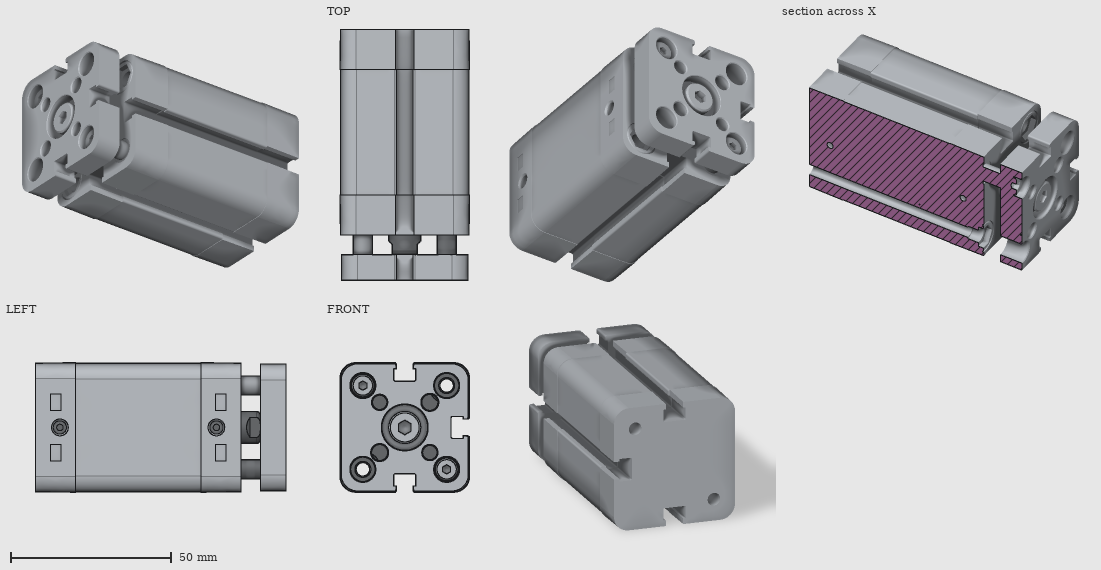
import cadquery as cq
import math


PLATE_LENGTH = 8.0
GAP_LENGTH = 6.0
CAP_LENGTH = 12.5
BARREL_LENGTH = 39.0
PLATE_BACK = PLATE_LENGTH
CAP_FRONT = PLATE_BACK + GAP_LENGTH
BARREL_FRONT = CAP_FRONT + CAP_LENGTH
BARREL_BACK = BARREL_FRONT + BARREL_LENGTH
BODY_BACK = BARREL_BACK + CAP_LENGTH

PLATE_WIDTH = 39.5
BARREL_WIDTH = 40.0
CAP_WIDTH = 40.3
CAP_END_WIDTH = 40.0
CORNER_RADIUS = 5.0

SLOT_NECK = 5.15
SLOT_MOUTH_RADIUS = 0.55
SLOT_WIDTH = 6.8
SLOT_FLOOR = 14.4
SLOT_SHOULDER = 18.2
SLOT_FILLET = 0.4
CAP_SLOT_CLEARANCE = 0.3

CORNER_OFFSET = 13.0
ROD_CORNERS = [(-CORNER_OFFSET, CORNER_OFFSET), (CORNER_OFFSET, -CORNER_OFFSET)]
SCREW_CORNERS = [(-CORNER_OFFSET, -CORNER_OFFSET), (CORNER_OFFSET, CORNER_OFFSET)]
GUIDE_ROD_DIAMETER = 6.0
GUIDE_SEAT_DIAMETER = 8.0
GUIDE_SEAT_DEPTH = 0.3

CORNER_HOLE_DIAMETER = 7.6
CORNER_HOLE_CHAMFER = 0.27
HEAD_DIAMETER = 7.0
HEAD_CHAMFER = 0.51
HEAD_RECESS = 2.0
HEAD_GROOVE_DEPTH = 1.2
HEAD_HEX_FLATS = 2.5
HEAD_HEX_DEPTH = 1.55

MOUNT_OFFSET = 7.8
WIDE_MOUNT_DIAMETER = 5.0
NARROW_MOUNT_DIAMETER = 4.45
MOUNT_CHAMFER = 0.3

PISTON_DIAMETER = 10.0
PISTON_END_DIAMETER = 9.0
PISTON_RECESS = 0.7
PISTON_BORE_DIAMETER = 14.2
PISTON_BORE_CHAMFER = 0.195
PISTON_BORE_DEPTH = 4.0
PISTON_HEX_FLATS = 4.0
PISTON_HEX_DEPTH = 2.35
PISTON_FLATS = 7.9
FLATS_START = 1.7
SHOULDER_RADIUS = 1.2

SCREW_SEAT_DIAMETER = 11.1
SCREW_FACE_DIAMETER = 10.0
SCREW_FACE_RECESS = 0.1
SCREW_SOCKET_FLATS = 7.6
SCREW_SOCKET_DEPTH = 1.9
SCREW_SHANK_DIAMETER = 5.0
SCREW_SHANK_DEPTH = 3.9
SCREW_HOLE_DIAMETER = 4.1

PORT_DISTANCE = 7.65
PORT_DIAMETER = 4.1
PORT_CHAMFER = 0.55
PORT_DEPTH = 4.7
PORT_PASSAGE_DIAMETER = 2.0
PORT_PASSAGE_DEPTH = 7.0
LABEL_DISTANCE = 6.3
LABEL_OFFSET = 7.9
LABEL_LENGTH = 3.2
LABEL_HEIGHT = 5.1
LABEL_DEPTH = 0.15


def section(y):
    """Workplane across the axis at y, with X to the right and Z up."""
    return cq.Workplane("XZ", origin=(0, y, 0))


def cylinder(points, diameter, front, back):
    return section(front).pushPoints(points).circle(diameter / 2).extrude(front - back)


def cone(x, z, front_diameter, back_diameter, front, back):
    axis = cq.Vector(0, 1, 0)
    base = cq.Vector(x, front, z)
    return cq.Workplane(cq.Solid.makeCone(front_diameter / 2, back_diameter / 2, back - front, base, axis))


def chamfered_holes(points, diameter, chamfer, front, back):
    holes = cylinder(points, diameter, front, back)
    for x, z in points:
        holes = holes.union(cone(x, z, diameter + 2 * chamfer, diameter, front, front + chamfer))
    return holes


def hex_socket(x, z, flats, front, depth):
    """Hexagonal socket with corners up and down, ending in a drill point."""
    corners = flats / math.cos(math.pi / 6)
    drill_end = front + depth + corners / 2 * math.tan(math.pi / 6)
    prism = section(front).center(x, z).transformed(rotate=(0, 0, 90))
    prism = prism.polygon(6, corners).extrude(front - drill_end)
    drill = cylinder([(x, z)], corners, front, front + depth)
    drill = drill.union(cone(x, z, corners, 0, front + depth, drill_end))
    return prism.intersect(drill)


def rounded_square(y, width):
    outline = cq.Sketch().rect(width, width).vertices().fillet(CORNER_RADIUS)
    return section(y).placeSketch(outline)


def t_slots(front, back, width, clearance, rounding):
    """T-slots along the top, bottom and +X sides of a square of the given width."""
    half_neck = SLOT_NECK / 2 + clearance
    half_slot = SLOT_WIDTH / 2 + clearance
    floor = SLOT_FLOOR - clearance
    groove = section(front).center(0, (floor + SLOT_SHOULDER) / 2)
    groove = groove.rect(2 * half_slot, SLOT_SHOULDER - floor).extrude(front - back)
    groove = groove.edges("|Y and <Z").fillet(SLOT_FILLET)
    neck = section(front).center(0, width / 2).rect(2 * half_neck, width - 2 * SLOT_SHOULDER)
    slot = groove.union(neck.extrude(front - back))
    if rounding:
        surface = width / 2
        bend = rounding * (1 - math.sqrt(0.5))
        mouth = (
            section(front)
            .moveTo(-half_neck, surface - rounding)
            .threePointArc((-half_neck - bend, surface - bend), (-half_neck - rounding, surface))
            .lineTo(half_neck + rounding, surface)
            .threePointArc((half_neck + bend, surface - bend), (half_neck, surface - rounding))
            .close()
        )
        slot = slot.union(mouth.extrude(front - back))
    slots = slot
    for angle in (90, 180):
        slots = slots.union(slot.rotate((0, 0, 0), (0, 1, 0), angle))
    return slots


def front_plate():
    plate = rounded_square(0, PLATE_WIDTH).extrude(-PLATE_LENGTH)
    plate = plate.cut(t_slots(0, PLATE_LENGTH, PLATE_WIDTH, 0, SLOT_MOUTH_RADIUS))
    corners = ROD_CORNERS + SCREW_CORNERS
    plate = plate.cut(chamfered_holes(corners, CORNER_HOLE_DIAMETER, CORNER_HOLE_CHAMFER, 0, PLATE_LENGTH))
    wide = [(-MOUNT_OFFSET, -MOUNT_OFFSET), (MOUNT_OFFSET, MOUNT_OFFSET)]
    narrow = [(-MOUNT_OFFSET, MOUNT_OFFSET), (MOUNT_OFFSET, -MOUNT_OFFSET)]
    plate = plate.cut(chamfered_holes(wide, WIDE_MOUNT_DIAMETER, MOUNT_CHAMFER, 0, PLATE_LENGTH))
    plate = plate.cut(chamfered_holes(narrow, NARROW_MOUNT_DIAMETER, MOUNT_CHAMFER, 0, PLATE_LENGTH))
    bore = chamfered_holes([(0, 0)], PISTON_BORE_DIAMETER, PISTON_BORE_CHAMFER, 0, PISTON_BORE_DEPTH)
    return plate.cut(bore).cut(cylinder([(0, 0)], PISTON_DIAMETER, 0, PLATE_LENGTH))


def guide_rods():
    groove_end = HEAD_RECESS + HEAD_GROOVE_DEPTH
    rods = cylinder(ROD_CORNERS, GUIDE_ROD_DIAMETER, groove_end, BARREL_FRONT)
    rods = rods.union(cylinder(ROD_CORNERS, CORNER_HOLE_DIAMETER, groove_end, PLATE_BACK))
    heads = cylinder(ROD_CORNERS, HEAD_DIAMETER, HEAD_RECESS, PLATE_BACK)
    rods = rods.union(heads.faces("<Y").chamfer(HEAD_CHAMFER))
    for x, z in ROD_CORNERS:
        rods = rods.cut(hex_socket(x, z, HEAD_HEX_FLATS, HEAD_RECESS, HEAD_HEX_DEPTH))
    return rods


def piston_rod():
    end_chamfer = (PISTON_DIAMETER - PISTON_END_DIAMETER) / 2
    rod = cylinder([(0, 0)], PISTON_DIAMETER, PISTON_RECESS, PLATE_BACK)
    rod = rod.faces("<Y").chamfer(end_chamfer)
    rod = rod.cut(hex_socket(0, 0, PISTON_HEX_FLATS, PISTON_RECESS, PISTON_HEX_DEPTH))

    neck = cylinder([(0, 0)], PISTON_DIAMETER, PLATE_BACK, BARREL_FRONT)
    neck = neck.faces("<Y").fillet(SHOULDER_RADIUS)
    half_flat = PISTON_FLATS / 2
    ramp_end = CAP_FRONT - FLATS_START
    ramp_start = ramp_end - (PISTON_DIAMETER - PISTON_FLATS) / 2
    flat_body = (
        cq.Workplane("XY", origin=(0, 0, -PISTON_DIAMETER / 2))
        .moveTo(-half_flat, PLATE_BACK)
        .lineTo(half_flat, PLATE_BACK)
        .lineTo(half_flat, ramp_start)
        .lineTo(PISTON_DIAMETER / 2, ramp_end)
        .lineTo(PISTON_DIAMETER / 2, BARREL_FRONT)
        .lineTo(-PISTON_DIAMETER / 2, BARREL_FRONT)
        .lineTo(-PISTON_DIAMETER / 2, ramp_end)
        .lineTo(-half_flat, ramp_start)
        .close()
        .extrude(PISTON_DIAMETER)
    )
    return rod.union(neck.intersect(flat_body))


def end_cap():
    """Front cap, tapering from the barrel to its outer end, with the port and labels."""
    slope = (CAP_WIDTH - CAP_END_WIDTH) / 2 / CAP_LENGTH
    taper = math.degrees(math.atan(slope))
    cap = rounded_square(BARREL_FRONT, CAP_WIDTH).extrude(CAP_LENGTH, taper=taper)
    cap = cap.cut(t_slots(CAP_FRONT, BARREL_FRONT, CAP_WIDTH, CAP_SLOT_CLEARANCE, 0))

    port_inset = slope * (CAP_LENGTH - PORT_DISTANCE)
    label_inset = slope * (CAP_LENGTH - LABEL_DISTANCE)
    port_radius = PORT_DIAMETER / 2
    port_profile = (
        cq.Workplane("XY", origin=(-CAP_WIDTH / 2, CAP_FRONT + PORT_DISTANCE, 0))
        .lineTo(0, port_radius + PORT_CHAMFER)
        .lineTo(port_inset, port_radius + PORT_CHAMFER)
        .lineTo(port_inset + PORT_CHAMFER, port_radius)
        .lineTo(PORT_DEPTH, port_radius)
        .lineTo(PORT_DEPTH, PORT_PASSAGE_DIAMETER / 2)
        .lineTo(PORT_PASSAGE_DEPTH, PORT_PASSAGE_DIAMETER / 2)
        .lineTo(PORT_PASSAGE_DEPTH, 0)
        .close()
    )
    cap = cap.cut(port_profile.revolve(360, (0, 0, 0), (1, 0, 0)))
    panel_depth = label_inset + LABEL_DEPTH
    panel_x = (panel_depth - CAP_WIDTH) / 2
    panel_y = CAP_FRONT + LABEL_DISTANCE
    for z in (-LABEL_OFFSET, LABEL_OFFSET):
        panel = cq.Workplane("XY").box(panel_depth, LABEL_LENGTH, LABEL_HEIGHT)
        cap = cap.cut(panel.translate((panel_x, panel_y, z)))
    return cap


def screw_recesses():
    """Recesses that leave chamfered screw heads with a hexagonal socket and a hollow shank."""
    face = CAP_FRONT + SCREW_FACE_RECESS
    seat_floor = face + (SCREW_SEAT_DIAMETER - SCREW_FACE_DIAMETER) / 2
    socket_floor = face + SCREW_SOCKET_DEPTH
    shank_end = socket_floor + SCREW_SHANK_DEPTH
    recesses = cylinder(SCREW_CORNERS, SCREW_SEAT_DIAMETER, CAP_FRONT, seat_floor)
    for x, z in SCREW_CORNERS:
        recesses = recesses.cut(cone(x, z, SCREW_FACE_DIAMETER, SCREW_SEAT_DIAMETER, face, seat_floor))
    corners = SCREW_SOCKET_FLATS / math.cos(math.pi / 6)
    sockets = section(face).pushPoints(SCREW_CORNERS).polygon(6, corners).extrude(face - socket_floor)
    return (
        recesses.union(sockets)
        .union(cylinder(SCREW_CORNERS, SCREW_SHANK_DIAMETER, socket_floor, shank_end))
        .union(cylinder(SCREW_CORNERS, SCREW_HOLE_DIAMETER, shank_end, BODY_BACK))
    )


def body():
    barrel = rounded_square(BARREL_FRONT, BARREL_WIDTH).extrude(-BARREL_LENGTH)
    barrel = barrel.cut(t_slots(BARREL_FRONT, BARREL_BACK, BARREL_WIDTH, 0, SLOT_MOUTH_RADIUS))
    cap = end_cap()
    rear_cap = cap.mirror("XZ", (0, (BARREL_FRONT + BARREL_BACK) / 2, 0))
    guide_seats = cylinder(ROD_CORNERS, GUIDE_SEAT_DIAMETER, CAP_FRONT, CAP_FRONT + GUIDE_SEAT_DEPTH)
    return barrel.union(cap).union(rear_cap).cut(guide_seats).cut(screw_recesses())


result = body().union(front_plate()).union(piston_rod()).union(guide_rods())